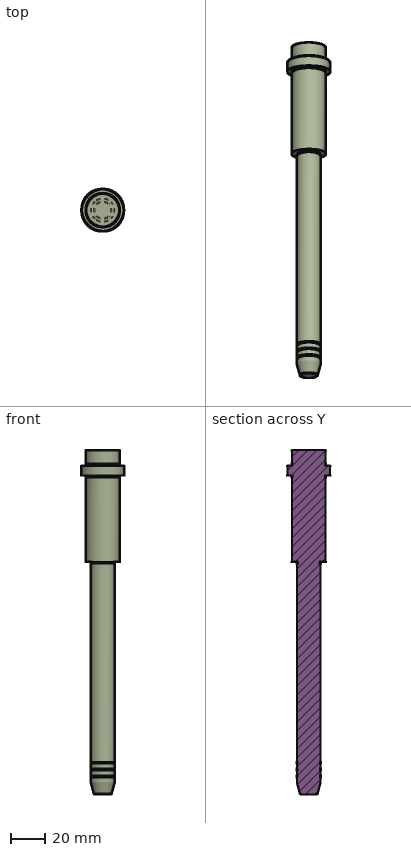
import cadquery as cq
import math

total_length = 200.0
rod_radius = 7.0
shank_radius = 10.0
shank_bottom = 135.0
shank_top_chamfer = 0.5
collar_radius = 12.5
collar_bottom = 185.0
collar_height = 6.0
collar_chamfer = 0.5

taper_height = 7.0
taper_angle = 15.0
tip_chamfer = 0.5

oil_groove_count = 3
oil_groove_first_height = 10.5
oil_groove_pitch = 4.0
oil_groove_width = 1.0
oil_groove_depth = 0.4

rod_relief_width = 1.0
rod_relief_depth = 0.5

shank_relief_width = 1.0
shank_relief_depth = 0.3

collar_top = collar_bottom + collar_height
taper_end_radius = rod_radius - taper_height * math.tan(math.radians(taper_angle))


def cylinder(radius, bottom, top):
    return cq.Workplane("XY").workplane(offset=bottom).circle(radius).extrude(top - bottom)


def revolved(points):
    """Solid of revolution about Z from (radius, height) corner points."""
    return cq.Workplane("XZ").polyline(points).close().revolve(360, (0, 0), (0, 1))


def flared_groove(radius, width, depth, height):
    """Ring cutter with a flat floor and 45-degree flanks, centred at the given height on a cylinder."""
    half_width = width / 2
    half_floor = half_width - depth
    return revolved([
        (radius, height - half_width),
        (radius, height + half_width),
        (radius - depth, height + half_floor),
        (radius - depth, height - half_floor),
    ])


def make_tip():
    """Conical lead-in with a chamfered end."""
    cone = revolved([
        (0, 0),
        (taper_end_radius, 0),
        (rod_radius, taper_height),
        (0, taper_height),
    ])
    return cone.faces("<Z").chamfer(tip_chamfer)


def make_rod():
    """Guide rod with its oil grooves, necked down just below the shank."""
    relief_bottom = shank_bottom - rod_relief_width
    rod = cylinder(rod_radius, taper_height, relief_bottom)
    neck = cylinder(rod_radius - rod_relief_depth, relief_bottom, shank_bottom)
    for index in range(oil_groove_count):
        height = oil_groove_first_height + index * oil_groove_pitch
        rod = rod.cut(flared_groove(rod_radius, oil_groove_width, oil_groove_depth, height))
    return rod.union(neck)


def make_shank():
    """Fitting diameter with a top edge chamfer and reliefs beside the collar."""
    shank = cylinder(shank_radius, shank_bottom, total_length)
    shank = shank.faces(">Z").chamfer(shank_top_chamfer)
    half_width = shank_relief_width / 2
    for height in (collar_bottom - half_width, collar_top + half_width):
        shank = shank.cut(flared_groove(shank_radius, shank_relief_width, shank_relief_depth, height))
    return shank


def make_collar():
    collar = cylinder(collar_radius, collar_bottom, collar_top)
    return collar.faces(">Z").chamfer(collar_chamfer)


result = make_rod().union(make_tip()).union(make_shank()).union(make_collar())